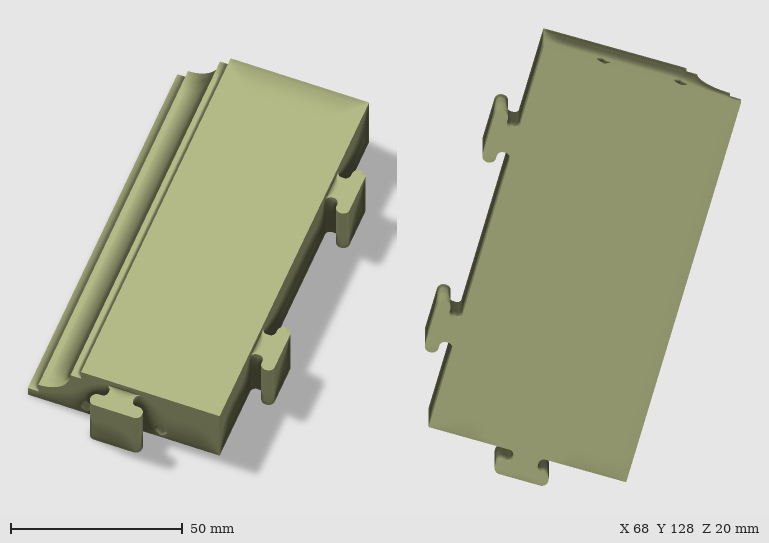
import cadquery as cq
import math

block_length = 120.0
block_width = 60.0
block_height = 20.0
cove_radius = block_height / 2
fillet_step = block_height / 6

tab_height = 17.5
tab_reach = 7.97
tab_head_length = 16.2
tab_head_thickness = 4.1
tab_neck_width = 7.7
tab_head_radius = 1.9
tab_neck_radius = 1.6
end_tab_x = block_width / 2
side_tab_positions = (block_length / 4, block_length * 3 / 4)

hole_radius = 2.0
hole_spacing = 23.4
hole_z = 3.6
hole_positions = (end_tab_x - hole_spacing / 2, end_tab_x + hole_spacing / 2)

digit_depth = 1.0
digit_floor = block_height - digit_depth
digit_x = 49.7
seven_width = 10.3
seven_height = 14.9
seven_bar = 1.75
seven_foot_left = -3.1
seven_foot_right = -0.75
seven_inner_corner = 3.25
eight_upper_y = 3.88
eight_lower_y = -3.4
eight_upper_radii = (4.6, 3.64)
eight_lower_radii = (5.0, 4.2)
upper_opening_y = 3.68
lower_opening_y = -3.35
upper_opening_radii = (2.62, 2.48)
lower_opening_radii = (3.34, 2.78)


def make_block():
    """Extrude the stepped cove moulding profile along Y."""
    cove_bottom = 2 * fillet_step
    cove_top = cove_bottom + cove_radius
    cove_start_x = fillet_step
    cove_end_x = cove_start_x + cove_radius
    arc_offset = cove_radius * math.sin(math.radians(45))
    cove_middle = (cove_start_x + arc_offset, cove_top - arc_offset)
    profile = (
        cq.Workplane("XZ")
        .lineTo(block_width, 0)
        .lineTo(block_width, block_height)
        .lineTo(cove_end_x + fillet_step, block_height)
        .lineTo(cove_end_x + fillet_step, cove_top)
        .lineTo(cove_end_x, cove_top)
        .threePointArc(cove_middle, (cove_start_x, cove_bottom))
        .lineTo(cove_start_x, fillet_step)
        .lineTo(0, fillet_step)
        .close()
    )
    return profile.extrude(-block_length)


def make_tab():
    """Puzzle tab that grows along +X from the origin, centred on Y."""
    head_inner_x = tab_reach - tab_head_thickness
    neck = (
        cq.Workplane("XY")
        .center(head_inner_x / 2, 0)
        .rect(head_inner_x, tab_neck_width + 2 * tab_neck_radius)
        .extrude(tab_height)
    )
    notch_y = (tab_neck_width + tab_head_length) / 2
    notches = (
        cq.Workplane("XY")
        .pushPoints([(head_inner_x / 2, notch_y), (head_inner_x / 2, -notch_y)])
        .rect(head_inner_x, tab_head_length)
        .extrude(tab_height)
        .edges("|Z")
        .fillet(tab_neck_radius)
    )
    head = (
        cq.Workplane("XY")
        .center(tab_reach - tab_head_thickness / 2, 0)
        .rect(tab_head_thickness, tab_head_length)
        .extrude(tab_height)
        .edges("|Z")
        .fillet(tab_head_radius)
    )
    return neck.cut(notches).union(head)


def make_hole(x):
    """Round hole through the full length, with 45 degree points above and below."""
    tangent = hole_radius * math.sin(math.radians(45))
    point = hole_radius / math.sin(math.radians(45))
    return (
        cq.Workplane("XZ", origin=(x, 0, hole_z))
        .moveTo(0, point)
        .lineTo(tangent, tangent)
        .threePointArc((hole_radius, 0), (tangent, -tangent))
        .lineTo(0, -point)
        .lineTo(-tangent, -tangent)
        .threePointArc((-hole_radius, 0), (-tangent, tangent))
        .close()
        .extrude(-block_length)
    )


def make_seven(y):
    """Digit 7 with a flat bar and a sloping stroke."""
    right = seven_width / 2
    top = seven_height / 2
    outline = [
        (-right, top),
        (right, top),
        (right, top - seven_bar),
        (seven_foot_right, -top),
        (seven_foot_left, -top),
        (seven_inner_corner, top - seven_bar),
        (-right, top - seven_bar),
    ]
    return cq.Workplane("XY", origin=(digit_x, y, digit_floor)).polyline(outline).close().extrude(digit_depth)


def make_oval(y, radii):
    """Oval prism for the lobes and openings of the digit 8."""
    return cq.Workplane("XY", origin=(digit_x, y, digit_floor)).ellipse(*radii).extrude(digit_depth)


def make_eight(y):
    """Digit 8 made of two overlapping ovals with two openings."""
    lobes = make_oval(y + eight_upper_y, eight_upper_radii).union(
        make_oval(y + eight_lower_y, eight_lower_radii)
    )
    upper_opening = make_oval(y + upper_opening_y, upper_opening_radii)
    lower_opening = make_oval(y + lower_opening_y, lower_opening_radii)
    return lobes.cut(upper_opening).cut(lower_opening)


seven = make_seven(side_tab_positions[0])
eight = make_eight(side_tab_positions[1])

moulding = make_block()
for tab_y in side_tab_positions:
    moulding = moulding.union(make_tab().translate((block_width, tab_y, 0)))
end_tab = make_tab().rotate((0, 0, 0), (0, 0, 1), -90)
moulding = moulding.union(end_tab.translate((end_tab_x, 0, 0)))
for hole_x in hole_positions:
    moulding = moulding.cut(make_hole(hole_x))
moulding = moulding.cut(seven).cut(eight)

result = cq.Compound.makeCompound([moulding.val(), seven.val(), eight.val()])